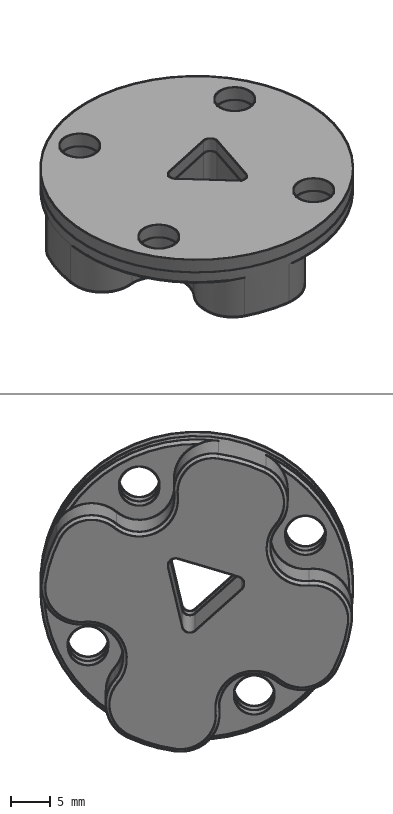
import cadquery as cq
import math

outer_radius = 40 / 2
total_height = 10
cover_thickness = 2
flange_thickness = 2
edge_chamfer = 0.5
body_height = total_height - cover_thickness
foot_height = body_height - flange_thickness

hole_diameter = 5.2
hole_offset = 11.1
scallop_radius = 4.5
lobe_radius = 5.0
quarter_turns = [0, 90, 180, 270]

corner_radius = 1.0
corner_spacing = 8.1
upper_corner_y = 4

hole_centers = [(x, y) for x in (-hole_offset, hole_offset) for y in (-hole_offset, hole_offset)]


def polar(radius, degrees, center=(0, 0)):
    angle = math.radians(degrees)
    return (center[0] + radius * math.cos(angle), center[1] + radius * math.sin(angle))


def triangle_cutter():
    """Equilateral prism with rounded corners, pointing to -Y."""
    half_spacing = corner_spacing / 2
    lower_corner_y = upper_corner_y - corner_spacing * math.sqrt(3) / 2
    corners = [(-half_spacing, upper_corner_y), (0, lower_corner_y), (half_spacing, upper_corner_y)]
    return (
        cq.Workplane("XY")
        .polyline(corners)
        .close()
        .offset2D(corner_radius)
        .extrude(total_height)
    )


def cut_openings(disc):
    holes = cq.Workplane("XY").pushPoints(hole_centers).circle(hole_diameter / 2).extrude(total_height)
    return disc.cut(holes).cut(triangle_cutter()).clean()


def foot_outline():
    """Circle with four scallops, blended by lobes tangent to the circle and the scallops."""
    hole_distance = hole_offset * math.sqrt(2)
    lobe_distance = outer_radius - lobe_radius
    center_gap = lobe_radius + scallop_radius
    diagonal = 45
    lobe_turn = math.degrees(math.acos(
        (hole_distance**2 + lobe_distance**2 - center_gap**2) / (2 * hole_distance * lobe_distance)
    ))
    lobe_angle = diagonal - lobe_turn
    lobe_center = polar(lobe_distance, lobe_angle)
    hole_center = (hole_offset, hole_offset)
    hole_direction = math.degrees(math.atan2(
        hole_center[1] - lobe_center[1], hole_center[0] - lobe_center[0]
    ))

    lobe_start = polar(outer_radius, lobe_angle)
    lobe_middle = polar(lobe_radius, (lobe_angle + hole_direction) / 2, lobe_center)
    lobe_end = polar(lobe_radius, hole_direction, lobe_center)
    scallop_middle = polar(hole_distance - scallop_radius, diagonal)

    def turned(point, degrees):
        return polar(math.hypot(*point), math.degrees(math.atan2(point[1], point[0])) + degrees)

    def mirrored(point):
        return (point[1], point[0])

    outline = cq.Workplane("XY").moveTo(*polar(outer_radius, -lobe_angle))
    for turn in quarter_turns:
        arcs = [
            (polar(outer_radius, 0), lobe_start),
            (lobe_middle, lobe_end),
            (scallop_middle, mirrored(lobe_end)),
            (mirrored(lobe_middle), mirrored(lobe_start)),
        ]
        for middle, end in arcs:
            outline = outline.threePointArc(turned(middle, turn), turned(end, turn))
    return outline.close()


def make_cover():
    return cut_openings(
        cq.Workplane("XY").workplane(offset=body_height).circle(outer_radius).extrude(cover_thickness)
    )


def make_base():
    flange = (
        cq.Workplane("XY")
        .workplane(offset=foot_height)
        .circle(outer_radius)
        .extrude(flange_thickness)
        .faces("<Z")
        .chamfer(edge_chamfer)
    )
    foot = foot_outline().extrude(body_height).faces("<Z").chamfer(edge_chamfer)
    return cut_openings(flange.union(foot))


cover = make_cover()
base = make_base()
result = cq.Compound.makeCompound([cover.val(), base.val()])